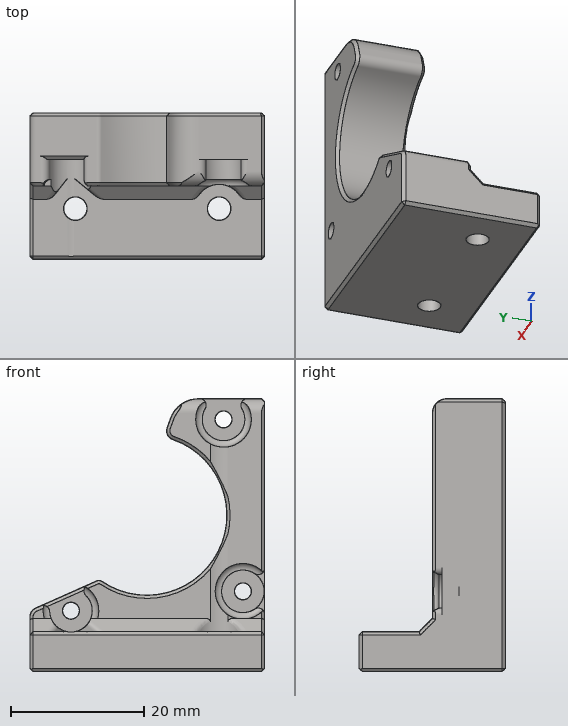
import cadquery as cq
import math

TINY = 0.005

LENGTH = 35.3
DEPTH = 22.0
HEIGHT = 41.0
EDGE_CHAMFER = 0.5

SHELF_HEIGHT = 6.0
WALL_THICKNESS = 11.0
WALL_FRONT = DEPTH - WALL_THICKNESS
RAMP_SIZE = 2.0
RAMP_TOP = SHELF_HEIGHT + RAMP_SIZE
RAMP_FRONT = WALL_FRONT - RAMP_SIZE

BORE_X = 17.6
BORE_Z = 23.5
BORE_RADIUS = 12.0

LOW_ARM_SIDE_HEIGHT = 9.15
LOW_ARM_SLOPE = math.radians(24)
LOW_ARM_ROUND = 1.5
LOW_ARM_PEAK_ROUND = 0.78

HOOK_CORNER_X = 22.22
HOOK_LEAN = math.radians(20)
HOOK_ROUND = 4.5
HOOK_TIP_ROUND = 1.4
TOP_FRONT_ROUND = 2.17

LOW_ARM_SCREW = (6.2, 9.15)
CORNER_SCREW = (32.02, 12.05)
HOOK_SCREW = (29.1, 37.9)
SCREW_HOLE_DIAMETER = 2.5
POCKET_RADIUS = 3.2
POCKET_DEPTH = 3.98
POCKET_LIP_ROUND = 1.0
SIDE_OPENING_DEPTH = EDGE_CHAMFER + POCKET_LIP_ROUND

LEFT_FOOT_HOLE_X = 6.85
RIGHT_FOOT_HOLE_X = 28.45
FOOT_HOLE_Y = 7.63
FOOT_HOLE_DIAMETER = 3.5
HEAD_CLEARANCE_RADIUS = 3.65
RELIEF_BACK_Y = 12.05
RELIEF_BACK_HALF_WIDTH = 0.6
RELIEF_EDGE_ROUND = 1.0


def enter_bore(x, z, direction):
    """Point where the ray from (x, z) along a unit direction first meets the bore circle."""
    to_center = (BORE_X - x, BORE_Z - z)
    along = to_center[0] * direction[0] + to_center[1] * direction[1]
    miss_squared = to_center[0]**2 + to_center[1]**2 - along**2
    reach = along - math.sqrt(BORE_RADIUS**2 - miss_squared)
    return (x + reach * direction[0], z + reach * direction[1])


def make_wall():
    corner = (0, LOW_ARM_SIDE_HEIGHT)
    peak = enter_bore(*corner, (math.cos(LOW_ARM_SLOPE), math.sin(LOW_ARM_SLOPE)))
    hook = (HOOK_CORNER_X, HEIGHT)
    tip = enter_bore(*hook, (-math.sin(HOOK_LEAN), -math.cos(HOOK_LEAN)))
    bore_right = (BORE_X + BORE_RADIUS, BORE_Z)
    wall = (
        cq.Workplane("XZ", origin=(0, DEPTH, 0))
        .lineTo(LENGTH, 0).lineTo(LENGTH, HEIGHT).lineTo(*hook).lineTo(*tip)
        .threePointArc(bore_right, peak).lineTo(*corner).close()
        .extrude(WALL_THICKNESS)
    )
    rounds = [
        (corner, LOW_ARM_ROUND),
        (peak, LOW_ARM_PEAK_ROUND),
        (hook, HOOK_ROUND),
        (tip, HOOK_TIP_ROUND),
    ]
    for (x, z), radius in rounds:
        nearest = cq.selectors.NearestToPointSelector((x, DEPTH - WALL_THICKNESS / 2, z))
        wall = wall.edges("|Y").edges(nearest).fillet(radius)
    return wall.edges("|Y and >X and >Z").chamfer(EDGE_CHAMFER)


def make_foot():
    """Foot, shelf and ramp, running back under the wall."""
    return (
        cq.Workplane("YZ")
        .lineTo(DEPTH, 0).lineTo(DEPTH, RAMP_TOP).lineTo(WALL_FRONT, RAMP_TOP)
        .lineTo(RAMP_FRONT, SHELF_HEIGHT).lineTo(0, SHELF_HEIGHT).close()
        .extrude(LENGTH)
    )


def bevel_rims(part):
    """Chamfer the outlines of the back, the bottom and the stepped front, but not the ramp creases."""
    part = part.faces(">Y or <Z").edges().chamfer(EDGE_CHAMFER)
    front_half = cq.selectors.BoxSelector(
        (-TINY, -TINY, EDGE_CHAMFER + TINY), (LENGTH + TINY, WALL_FRONT + TINY, HEIGHT + TINY))
    return part.edges(front_half).edges("(not |X) or <Y").chamfer(EDGE_CHAMFER)


def round_top_front(part):
    """Trim the part to a side profile whose top front corner is rounded."""
    side_profile = (
        cq.Workplane("YZ")
        .lineTo(DEPTH, 0).lineTo(DEPTH, HEIGHT).lineTo(WALL_FRONT + TOP_FRONT_ROUND, HEIGHT)
        .radiusArc((WALL_FRONT, HEIGHT - TOP_FRONT_ROUND), -TOP_FRONT_ROUND)
        .lineTo(WALL_FRONT, RAMP_TOP).lineTo(0, RAMP_TOP).close()
        .extrude(LENGTH)
    )
    return part.intersect(side_profile)


def upright_cylinder(x, radius, z_start):
    """Vertical cylinder over a foot hole, reaching up to the top of the part."""
    return cq.Workplane("XY", origin=(x, FOOT_HOLE_Y, z_start)).circle(radius).extrude(HEIGHT - z_start)


def cut_head_clearances(part):
    """Clear the ramp around the foot holes and ease the ramp edges this leaves."""
    part = part.cut(upright_cylinder(RIGHT_FOOT_HOLE_X, HEAD_CLEARANCE_RADIUS, SHELF_HEIGHT))
    pocket_x = LOW_ARM_SCREW[0]
    relief = (
        cq.Workplane("XY", origin=(0, 0, SHELF_HEIGHT))
        .moveTo(LEFT_FOOT_HOLE_X - HEAD_CLEARANCE_RADIUS, RAMP_FRONT)
        .lineTo(pocket_x - RELIEF_BACK_HALF_WIDTH, RELIEF_BACK_Y)
        .lineTo(pocket_x + RELIEF_BACK_HALF_WIDTH, RELIEF_BACK_Y)
        .lineTo(LEFT_FOOT_HOLE_X + HEAD_CLEARANCE_RADIUS, RAMP_FRONT)
        .close().extrude(RAMP_SIZE)
    )
    part = part.cut(relief)
    inside_ramp = cq.selectors.BoxSelector(
        (2 * EDGE_CHAMFER, RAMP_FRONT + TINY, SHELF_HEIGHT + TINY),
        (LENGTH - 2 * EDGE_CHAMFER, WALL_FRONT - TINY, RAMP_TOP - TINY))
    return part.edges(inside_ramp).fillet(RELIEF_EDGE_ROUND)


def screw_cylinder(center, radius, y_end):
    """Cylinder along Y around a screw, from the front of the part back to y_end."""
    return cq.Workplane("XZ").center(*center).circle(radius).extrude(-y_end)


def make_pocket_lip(center):
    """Flared ring that rounds the mouth of a pocket, kept above the ramp."""
    outer = POCKET_RADIUS + POCKET_LIP_ROUND
    lip_back = WALL_FRONT + POCKET_LIP_ROUND
    ring = (
        cq.Workplane("XY")
        .moveTo(0, WALL_FRONT).lineTo(outer, WALL_FRONT)
        .radiusArc((POCKET_RADIUS, lip_back), -POCKET_LIP_ROUND).lineTo(0, lip_back).close()
        .revolve(360, (0, 0, 0), (0, 1, 0))
        .translate((center[0], 0, center[1]))
    )
    above_ramp = cq.Workplane("XY", origin=(0, 0, RAMP_TOP)).box(
        4 * LENGTH, 4 * DEPTH, 2 * HEIGHT, centered=(True, True, False))
    return ring.intersect(above_ramp)


def make_side_opening(center, side_distance, side_angle, depth):
    """
    Mouth with rounded edges where a pocket breaks out through a nearby flat side.
    side_distance runs from the screw to that side; side_angle is its direction, in degrees from +X.
    """
    flare = POCKET_LIP_ROUND
    flare_center = side_distance - flare
    spread = math.sqrt((POCKET_RADIUS + flare)**2 - flare_center**2)
    toward_screw = math.atan2(-spread, -flare_center)
    touch = (flare_center + flare * math.cos(toward_screw), spread + flare * math.sin(toward_screw))
    middle = (
        flare_center + flare * math.cos(toward_screw / 2),
        spread + flare * math.sin(toward_screw / 2),
    )
    outside = side_distance + flare
    return (
        cq.Workplane("XZ")
        .moveTo(touch[0], -touch[1])
        .threePointArc((middle[0], -middle[1]), (side_distance, -spread))
        .lineTo(outside, -spread).lineTo(outside, spread).lineTo(side_distance, spread)
        .threePointArc(middle, touch).close()
        .extrude(-(WALL_FRONT + depth))
        .rotate((0, 0, 0), (0, 1, 0), -side_angle)
        .translate((center[0], 0, center[1]))
    )


def cut_pocket(part, center, side_opening):
    part = part.cut(screw_cylinder(center, POCKET_RADIUS, WALL_FRONT + POCKET_DEPTH))
    part = part.cut(side_opening).cut(make_pocket_lip(center))
    return part.cut(screw_cylinder(center, SCREW_HOLE_DIAMETER / 2, DEPTH))


def cut_low_arm_pocket(part):
    """Pocket that opens through the sloping top of the low arm, with a chamfer along its floor."""
    x, z = LOW_ARM_SCREW
    height_below_slope = LOW_ARM_SIDE_HEIGHT + x * math.tan(LOW_ARM_SLOPE) - z
    slope_distance = height_below_slope * math.cos(LOW_ARM_SLOPE)
    slope_angle = 90 + math.degrees(LOW_ARM_SLOPE)
    part = cut_pocket(
        part, LOW_ARM_SCREW, make_side_opening(LOW_ARM_SCREW, slope_distance, slope_angle, POCKET_DEPTH))
    floor_rim = cq.selectors.NearestToPointSelector((
        x - slope_distance * math.sin(LOW_ARM_SLOPE),
        WALL_FRONT + POCKET_DEPTH,
        z + slope_distance * math.cos(LOW_ARM_SLOPE),
    ))
    return part.edges(floor_rim).chamfer(EDGE_CHAMFER)


def cut_corner_pocket(part):
    """Pocket whose lip breaks out through the right side."""
    distance = LENGTH - CORNER_SCREW[0]
    return cut_pocket(part, CORNER_SCREW, make_side_opening(CORNER_SCREW, distance, 0, SIDE_OPENING_DEPTH))


def cut_hook_pocket(part):
    """Pocket that opens through the top."""
    distance = HEIGHT - HOOK_SCREW[1]
    return cut_pocket(part, HOOK_SCREW, make_side_opening(HOOK_SCREW, distance, 90, POCKET_DEPTH))


def cut_foot_holes(part):
    for x in (LEFT_FOOT_HOLE_X, RIGHT_FOOT_HOLE_X):
        part = part.cut(upright_cylinder(x, FOOT_HOLE_DIAMETER / 2, 0))
    return part


bracket = make_wall().union(make_foot()).clean()
bracket = bevel_rims(bracket)
bracket = cut_head_clearances(bracket)
bracket = round_top_front(bracket)
bracket = cut_low_arm_pocket(bracket)
bracket = cut_corner_pocket(bracket)
bracket = cut_hook_pocket(bracket)
bracket = cut_foot_holes(bracket)
result = bracket